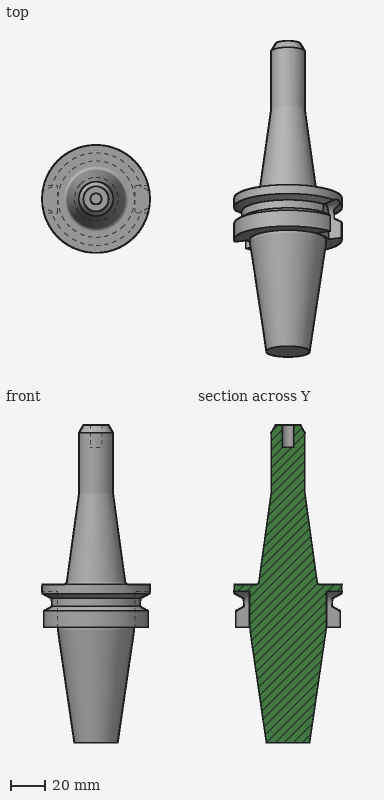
import math

import cadquery as cq


gauge_diameter = 44.45
taper_top = 0.4
taper_length = 65.29
taper_ratio = 7 / 24
tail_diameter = gauge_diameter - taper_length * taper_ratio
collar_diameter = gauge_diameter + taper_top * taper_ratio

flange_bottom = 2.0
flange_diameter = 63.0
flange_height = 25.0
groove_diameter = 54.0
groove_mouth_width = 10.0
groove_center_height = 16.6
groove_flank_angle = 30.0

slot_width = 16.1
slot_height = 21.0
slot_floor_distance = 22.5

gauge_length = 120.0
stem_diameter = 20.0
stem_length = 40.0
tip_diameter = 14.6
tip_bevel_angle = 30.0
cone_base_diameter = 34.6
cone_fillet_radius = 2.0
bore_diameter = 6.5
bore_depth = 13.0

flange_top = flange_bottom + flange_height
stem_bottom = gauge_length - stem_length


def tangent(degrees):
    return math.tan(math.radians(degrees))


def make_shank():
    taper = [
        (0, -taper_length),
        (tail_diameter / 2, -taper_length),
        (collar_diameter / 2, taper_top),
        (collar_diameter / 2, flange_bottom),
        (0, flange_bottom),
    ]
    return revolve_outline(taper)


def make_flange():
    flank_height = (flange_diameter - groove_diameter) / 2 * tangent(groove_flank_angle)
    mouth_bottom = groove_center_height - groove_mouth_width / 2
    mouth_top = groove_center_height + groove_mouth_width / 2
    rim_radius = flange_diameter / 2
    groove_radius = groove_diameter / 2
    flange = [
        (0, flange_bottom),
        (rim_radius, flange_bottom),
        (rim_radius, mouth_bottom),
        (groove_radius, mouth_bottom + flank_height),
        (groove_radius, mouth_top - flank_height),
        (rim_radius, mouth_top),
        (rim_radius, flange_top),
        (0, flange_top),
    ]
    return revolve_outline(flange)


def make_nose():
    bevel_length = (stem_diameter - tip_diameter) / 2 / tangent(tip_bevel_angle)
    nose = [
        (0, flange_top),
        (cone_base_diameter / 2, flange_top),
        (stem_diameter / 2, stem_bottom),
        (stem_diameter / 2, gauge_length - bevel_length),
        (tip_diameter / 2, gauge_length),
        (0, gauge_length),
    ]
    return revolve_outline(nose)


def revolve_outline(points):
    """Turn a closed (radius, Z) outline about the Z axis."""
    return cq.Workplane("XZ").polyline(points).close().revolve(360, (0, 0, 0), (0, 1, 0))


def fillet_cone_base(body):
    reach = cone_base_diameter / 2 + cone_fillet_radius / 2
    tolerance = cone_fillet_radius / 10
    around_base = cq.selectors.BoxSelector(
        (-reach, -reach, flange_top - tolerance),
        (reach, reach, flange_top + tolerance),
        boundingbox=True,
    )
    return body.edges(around_base).fillet(cone_fillet_radius)


def make_drive_slot(side):
    """Round-topped cutter, open at the flange bottom; side is +1 or -1 along X."""
    half_width = slot_width / 2
    slot_top = flange_bottom + slot_height
    arc_start = slot_top - half_width
    cut_depth = flange_diameter / 2 - slot_floor_distance
    return (
        cq.Workplane("YZ", origin=(side * slot_floor_distance, 0, 0))
        .moveTo(-half_width, flange_bottom)
        .lineTo(-half_width, arc_start)
        .threePointArc((0, slot_top), (half_width, arc_start))
        .lineTo(half_width, flange_bottom)
        .close()
        .extrude(side * cut_depth)
    )


def make_bore():
    return (
        cq.Workplane("XY", origin=(0, 0, gauge_length))
        .circle(bore_diameter / 2)
        .extrude(-bore_depth)
    )


holder = make_shank().union(make_flange()).union(make_nose())
holder = fillet_cone_base(holder)
for side in (-1, 1):
    holder = holder.cut(make_drive_slot(side))
result = holder.cut(make_bore())